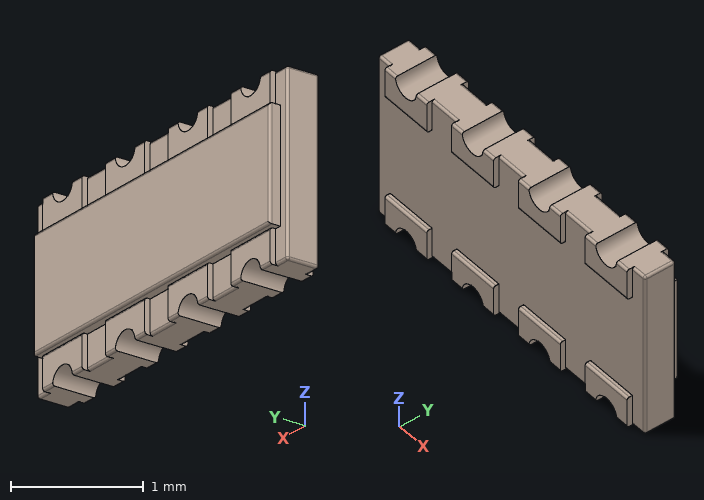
import cadquery as cq


BODY_LENGTH = 3.2
BODY_WIDTH = BODY_LENGTH / 2
BODY_THICKNESS = 0.3
EDGE_RADIUS = 0.022

COVER_LENGTH = 3.02
COVER_THICKNESS = 0.1

PADS_PER_ROW = 4
PAD_PITCH = BODY_LENGTH / PADS_PER_ROW
PAD_LENGTH = 0.502
PAD_WIDTH = 0.3
PAD_THICKNESS = 0.05

NOTCH_RADIUS = 0.125

COVER_WIDTH = BODY_WIDTH - 2 * PAD_WIDTH
TERMINAL_THICKNESS = BODY_THICKNESS + 2 * PAD_THICKNESS


def make_body():
    """Plain block with every edge rounded."""
    block = cq.Workplane("XY").box(BODY_LENGTH, BODY_THICKNESS, BODY_WIDTH)
    return block.edges().fillet(EDGE_RADIUS)


def make_cover():
    """Plate seated on the body and rounded around its outer face."""
    plate = cq.Workplane("XY").box(COVER_LENGTH, COVER_THICKNESS, COVER_WIDTH)
    plate = plate.faces(">Y").edges().fillet(EDGE_RADIUS)
    return plate.translate((0, (BODY_THICKNESS + COVER_THICKNESS) / 2, 0))


def make_pad(x, y_side, z_side):
    """Pad on the y_side face at the z_side edge; it reaches into the body to fill the rounded edge."""
    depth = PAD_THICKNESS + EDGE_RADIUS
    pad = cq.Workplane("XY").box(PAD_LENGTH, depth, PAD_WIDTH)
    outer_face = ">Y" if y_side > 0 else "<Y"
    pad = pad.faces(outer_face).edges("|X").fillet(EDGE_RADIUS)
    y = y_side * (TERMINAL_THICKNESS - depth) / 2
    z = z_side * (BODY_WIDTH - PAD_WIDTH) / 2
    return pad.translate((x, y, z))


def make_notch(x, z_side):
    """Cylinder along Y centred on a long edge of the body."""
    cylinder = cq.Workplane("XZ").circle(NOTCH_RADIUS).extrude(TERMINAL_THICKNESS)
    return cylinder.translate((x, TERMINAL_THICKNESS / 2, z_side * BODY_WIDTH / 2))


pad_centres = [(i - (PADS_PER_ROW - 1) / 2) * PAD_PITCH for i in range(PADS_PER_ROW)]

result = make_body().union(make_cover())
for z_side in (-1, 1):
    for x in pad_centres:
        for y_side in (-1, 1):
            result = result.union(make_pad(x, y_side, z_side))
        result = result.cut(make_notch(x, z_side))
result = result.clean()